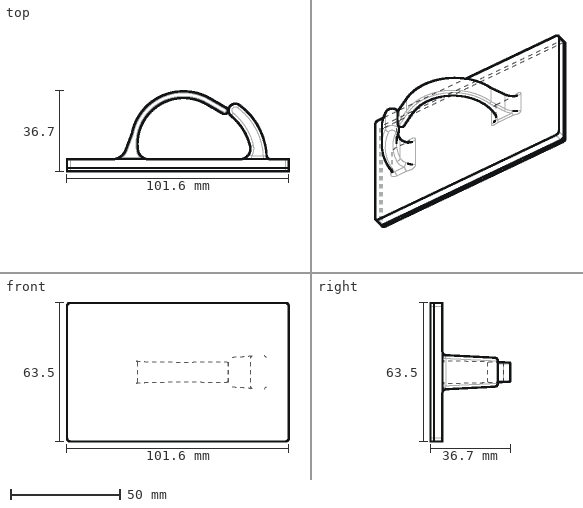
import cadquery as cq
import math

plate_width = 101.6
plate_height = 63.5
corner_radius = 1.5875
panel_thickness = 1.5875
slab_thickness = 3.975
back_y = panel_thickness + slab_thickness

long_center_x = 2.54
long_center_rise = 6.985
long_center_y = back_y + long_center_rise
long_outer_radius = 24.13
long_thickness = 3.175
long_tip_slope = 30.0
long_tip_length = 8.7
long_heel_height = 11.6
long_heel_x = -25.5
long_inner_radius = long_outer_radius - long_thickness
long_inner_foot_x = long_center_x - math.sqrt(long_inner_radius**2 - long_center_rise**2)
long_half_width = 5.3
long_draft = 1.5
long_heel_fillet = 6.35
long_inner_fillet = 4.7625
long_side_fillet = 0.79375

short_tip_x = 26.3
short_tip_height = 25.4
short_outer_foot_x = 40.7
short_inner_foot_x = 33.7
short_tip_radius = 3.175
short_half_width = 7.9375
short_draft = 3.0
short_inner_fillet = 4.7625
short_side_fillet = 1.5875

hook_gap_x = 23.0
margin = 0.5


def polar(center, radius, degrees):
    """Point at an angle on a circle."""
    angle = math.radians(degrees)
    return (center[0] + radius * math.cos(angle), center[1] + radius * math.sin(angle))


def slab(front_y, thickness):
    """Rounded rectangular layer of the plate."""
    layer = cq.Workplane("XY").box(plate_width, thickness, plate_height, centered=(True, False, True))
    return layer.edges("|Y").fillet(corner_radius).translate((0, front_y, 0))


def drafted(profile, half_width, draft):
    """Extrude an XY profile along Z and taper its two sides away from the plate."""
    reach = plate_width / 2
    top_half_width = half_width - reach * math.tan(math.radians(draft))
    wedge = (
        cq.Workplane("YZ", origin=(-reach, 0, 0))
        .moveTo(back_y, -half_width)
        .lineTo(back_y, half_width)
        .lineTo(back_y + reach, top_half_width)
        .lineTo(back_y + reach, -top_half_width)
        .close()
        .extrude(plate_width)
    )
    return profile.extrude(half_width, both=True).intersect(wedge)


def long_hook():
    center = (long_center_x, long_center_y)
    inner_radius = long_inner_radius
    middle_radius = long_outer_radius - long_thickness / 2
    tip_angle = 90 - long_tip_slope
    rise = long_heel_height - long_center_rise
    heel_angle = 180 - math.degrees(math.asin(rise / long_outer_radius))
    foot_angle = 180 + math.degrees(math.asin(long_center_rise / inner_radius))

    def tip_point(radius, extra=0.0):
        start = polar(center, radius, tip_angle)
        return polar(start, long_tip_length + extra, -long_tip_slope)

    profile = (
        cq.Workplane("XY")
        .moveTo(long_heel_x, back_y)
        .lineTo(*polar(center, long_outer_radius, heel_angle))
        .threePointArc(polar(center, long_outer_radius, (heel_angle + tip_angle) / 2),
                       polar(center, long_outer_radius, tip_angle))
        .lineTo(*tip_point(long_outer_radius))
        .threePointArc(tip_point(middle_radius, long_thickness / 2), tip_point(inner_radius))
        .lineTo(*polar(center, inner_radius, tip_angle))
        .threePointArc(polar(center, inner_radius, (foot_angle + tip_angle) / 2),
                       polar(center, inner_radius, foot_angle))
        .close()
    )
    return drafted(profile, long_half_width, long_draft)


def short_hook():
    tip = (short_tip_x, back_y + short_tip_height - short_tip_radius)

    def arc_to_tip(foot_x, tip_offset):
        """Arc that leaves the plate squarely and is tangent to the tip round: centre, radius, end angle."""
        run = foot_x - tip[0]
        rise = tip[1] - back_y
        radius = (run**2 + rise**2 - short_tip_radius**2) / (2 * (run + tip_offset))
        center = (foot_x - radius, back_y)
        angle = math.degrees(math.atan2(rise, tip[0] - center[0]))
        return center, radius, angle

    outer_center, outer_radius, outer_angle = arc_to_tip(short_outer_foot_x, -short_tip_radius)
    inner_center, inner_radius, inner_angle = arc_to_tip(short_inner_foot_x, short_tip_radius)
    profile = (
        cq.Workplane("XY")
        .moveTo(short_outer_foot_x, back_y)
        .threePointArc(polar(outer_center, outer_radius, outer_angle / 2),
                       polar(outer_center, outer_radius, outer_angle))
        .threePointArc(polar(tip, short_tip_radius, (inner_angle + outer_angle) / 2 + 90),
                       polar(tip, short_tip_radius, inner_angle + 180))
        .threePointArc(polar(inner_center, inner_radius, inner_angle / 2),
                       (short_inner_foot_x, back_y))
        .close()
    )
    return drafted(profile, short_half_width, short_draft)


def foot_edge(x):
    """Selects the edge along Z where a hook meets the plate near X."""
    return cq.selectors.BoxSelector((x - margin, back_y - margin, -margin), (x + margin, back_y + margin, margin))


def side_edges(x_start, x_end, y_start, half_width):
    """Selects the edges that bound both side faces of a hook."""
    y_end = back_y + plate_height
    z_inner = half_width / 2
    z_outer = half_width + margin
    upper = cq.selectors.BoxSelector((x_start, y_start, z_inner), (x_end, y_end, z_outer))
    lower = cq.selectors.BoxSelector((x_start, y_start, -z_outer), (x_end, y_end, -z_inner))
    return upper + lower


def holder_body():
    body = slab(panel_thickness, slab_thickness).union(long_hook()).union(short_hook())

    body = body.edges(foot_edge(long_heel_x)).fillet(long_heel_fillet)
    body = body.edges(foot_edge(long_inner_foot_x)).fillet(long_inner_fillet)
    body = body.edges(foot_edge(short_inner_foot_x)).fillet(short_inner_fillet)

    long_sides = side_edges(-plate_width / 2, hook_gap_x, back_y - margin, long_half_width)
    body = body.edges(long_sides).fillet(long_side_fillet)

    short_sides = side_edges(hook_gap_x, plate_width / 2, back_y - margin, short_half_width)
    return body.edges(short_sides + foot_edge(short_outer_foot_x)).fillet(short_side_fillet)


panel = slab(0, panel_thickness)
holder = holder_body()
result = cq.Compound.makeCompound([panel.val(), holder.val()])